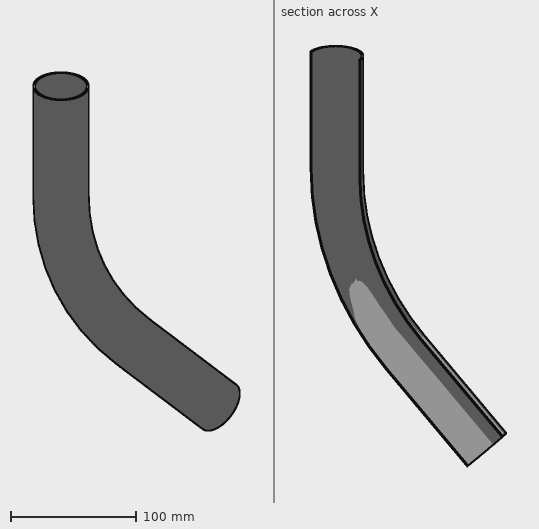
import cadquery as cq
import math

outer_diameter = 44.5
inner_diameter = 41.3

overall_height = 333.0
bend_radius = 203.0
bend_angle = 45.0

bend_sine = math.sin(math.radians(bend_angle))
bend_cosine = math.cos(math.radians(bend_angle))
bend_and_corner_height = (bend_radius + outer_diameter / 2) * bend_sine
leg_length = (overall_height - bend_and_corner_height) / (1 + bend_cosine)


def bend_point(angle_degrees):
    """Point (Y, Z) on the bend centreline, measured from the foot of the vertical leg."""
    angle = math.radians(angle_degrees)
    return (bend_radius * (1 - math.cos(angle)), -bend_radius * math.sin(angle))


bend_middle = bend_point(bend_angle / 2)
bend_end = bend_point(bend_angle)
lower_end = (
    bend_end[0] + leg_length * bend_sine,
    bend_end[1] - leg_length * bend_cosine,
)

centreline = (
    cq.Workplane("YZ")
    .moveTo(0, leg_length)
    .lineTo(0, 0)
    .threePointArc(bend_middle, bend_end)
    .lineTo(*lower_end)
)

result = (
    cq.Workplane("XY", origin=(0, 0, leg_length))
    .circle(outer_diameter / 2)
    .circle(inner_diameter / 2)
    .sweep(centreline)
)